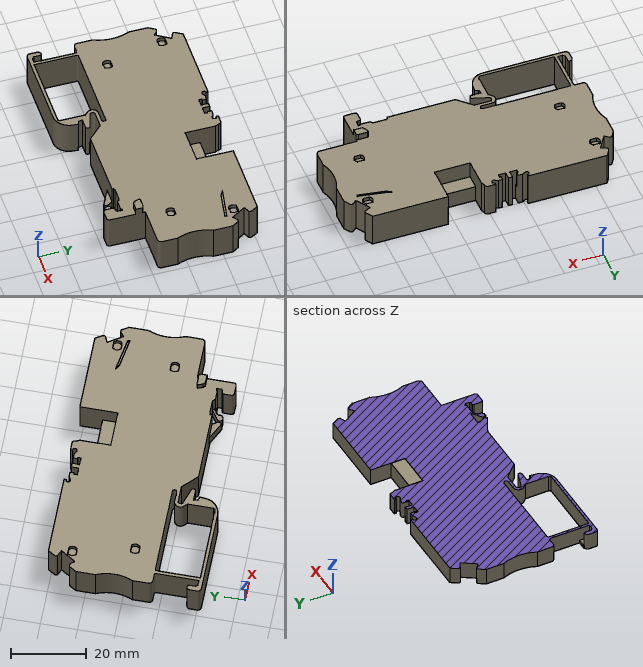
import cadquery as cq
import math

length = 76.5
height = 42.0
thickness = 9.95
half_length = length / 2
block_bottom = 13.1
block_corner_radius = 1.0

waist_low, waist_high = 18.4, 28.4
waist_depth = 1.1

web_bottom = 7.1
leg_right = 26.55

wall = 0.9
stem_left = -34.95
stem_right = stem_left + wall
arm_top = 11.9
arm_bottom = arm_top - wall
flank_top_x = -7.5
slot_end_x = -9.25
spring_wall_x = -12.4
foot_corner_radius = 4.35

latch_bottom, latch_top = 2.1, 5.1

recess_left, recess_right = 1.7, 11.8
recess_floor_y = 31.75
deck_edge_y = 35.9
deck_z = 5.0

marker_x = -6.3
marker_floor_y = 38.8
marker_bump_y = 40.85
marker_post_half = 0.57
marker_ledge_z = 5.0

socket_diameter = 2.8
socket_flats = 2.2
socket_depth = 1.15
socket_centers = [(-32.2, 35.7), (32.2, 35.7), (-28.45, 19.5), (28.45, 19.5)]

groove_depth = 0.4
peg_height = 1.8

tongue_thickness = 0.9


def prism(points, bottom=0.0, depth=thickness):
    """Straight prism over a closed polygon in the XY plane."""
    return cq.Workplane("XY").workplane(offset=bottom).polyline(points).close().extrude(depth)


def box(x0, x1, y0, y1, bottom=0.0, depth=thickness):
    return prism([(x0, y0), (x1, y0), (x1, y1), (x0, y1)], bottom, depth)


def both_ends(solid):
    """The solid together with its mirror image about the middle of the length."""
    return solid.union(solid.mirror("YZ"))


def main_block():
    waist_middle = (waist_low + waist_high) / 2
    waist_x = half_length - waist_depth
    block = (
        cq.Workplane("XY")
        .moveTo(-half_length, block_bottom)
        .lineTo(half_length, block_bottom)
        .lineTo(half_length, waist_low)
        .threePointArc((waist_x, waist_middle), (half_length, waist_high))
        .lineTo(half_length, height)
        .lineTo(-half_length, height)
        .lineTo(-half_length, waist_high)
        .threePointArc((-waist_x, waist_middle), (-half_length, waist_low))
        .close()
        .extrude(thickness)
    )
    return block.edges("|Z and <Y").fillet(block_corner_radius)


def end_notch():
    """Material removed at an upper corner: bevel, hooked lip and notch."""
    outside_x, outside_y = half_length + 0.8, height + 0.8
    return (
        cq.Workplane("XY")
        .moveTo(33.3, outside_y)
        .lineTo(33.3, height)
        .lineTo(34.35, 40.25)
        .threePointArc((34.5, 39.8), (34.35, 39.3))
        .lineTo(32.7, 38.55)
        .lineTo(35.2, 34.6)
        .lineTo(36.25, 35.5)
        .threePointArc((36.7, 35.65), (37.2, 35.4))
        .lineTo(half_length, 33.65)
        .lineTo(outside_x, 33.65)
        .lineTo(outside_x, outside_y)
        .close()
        .extrude(thickness)
    )


def marker_half():
    """Right half of the marker groove, drawn about its own middle line."""
    slot_side = 2.2
    lip = 4.6
    ledge_side, ledge_top = 2.6, 39.6
    opening = (
        cq.Workplane("XY")
        .moveTo(0, marker_bump_y)
        .lineTo(marker_post_half, marker_bump_y)
        .lineTo(marker_post_half, marker_floor_y)
        .lineTo(slot_side, marker_floor_y)
        .lineTo(slot_side, 40.55)
        .threePointArc((2.3, 40.8), (2.5, marker_bump_y))
        .lineTo(3.45, marker_bump_y)
        .lineTo(4.4, 40.3)
        .threePointArc((5.2, 40.7), (lip, 41.4))
        .lineTo(lip, height + 0.8)
        .lineTo(0, height + 0.8)
        .close()
        .extrude(thickness)
    )
    ledge = box(marker_post_half, ledge_side, marker_floor_y, ledge_top, marker_ledge_z)
    return opening.union(ledge)


def upper_recess():
    opening = box(recess_left, recess_right, deck_edge_y, height + 0.8)
    above_deck = box(recess_left, recess_right, recess_floor_y, height + 0.8, deck_z)
    shoulder = (
        cq.Workplane("XY")
        .moveTo(0.4, height)
        .threePointArc((1.0, 41.8), (1.2, 41.1))
        .lineTo(recess_left, 40.1)
        .lineTo(recess_left, height)
        .close()
        .extrude(thickness)
    )
    return opening.union(above_deck).union(shoulder)


def rail_web():
    """Web below the block, with the slanted left flank and the right leg."""
    leg_left = 22.65
    leg_bottom = 2.5
    leg_corner = 0.7
    pocket_x = 24.0
    pocket_left = pocket_x - 0.45
    pocket_top = web_bottom + 0.3
    web = prism([
        (slot_end_x, block_bottom),
        (slot_end_x, arm_bottom),
        (flank_top_x, arm_bottom),
        (-3.6, web_bottom),
        (pocket_left, web_bottom),
        (pocket_left, pocket_top),
        (pocket_x, pocket_top),
        (pocket_x, 6.05),
        (pocket_x - 0.4, 5.7),
        (leg_left + 0.2, 5.7),
        (leg_left, 5.4),
        (leg_left, leg_bottom),
        (leg_right, leg_bottom),
        (leg_right, block_bottom),
    ])
    return web.edges("|Z and <Y").fillet(leg_corner)


def spring_foot():
    """Thin frame under the block ending in the sprung rail claw."""
    hook_top = 3.9
    hook_inner_x = -36.9
    hook_floor_y = 1.15
    tongue_top = 4.05
    corner = 0.5
    stem_flare = 0.4
    foot_corner = 1.0
    claw_x, claw_y = -9.65, 5.65
    arc_center_x = -14.15
    across, up = claw_x - arc_center_x, claw_y - foot_corner_radius
    arc_end = math.atan2(up, across) - math.acos(foot_corner_radius / math.hypot(across, up))
    arc_middle = (arc_end - math.pi / 2) / 2

    def on_corner(angle):
        return (
            arc_center_x + foot_corner_radius * math.cos(angle),
            foot_corner_radius * (1 + math.sin(angle)),
        )

    frame = (
        cq.Workplane("XY")
        .moveTo(-half_length, foot_corner)
        .radiusArc((foot_corner - half_length, 0), -foot_corner)
        .lineTo(arc_center_x, 0)
        .threePointArc(on_corner(arc_middle), on_corner(arc_end))
        .lineTo(claw_x, claw_y)
        .lineTo(-10.6, 6.0)
        .lineTo(-10.9, web_bottom)
        .lineTo(-7.95, web_bottom)
        .threePointArc((-7.5, 7.65), (-7.8, 8.3))
        .lineTo(-12.2, 9.65)
        .threePointArc((-12.6, 10.3), (-12.0, arm_bottom))
        .lineTo(flank_top_x, arm_bottom)
        .lineTo(flank_top_x, arm_top)
        .lineTo(spring_wall_x, arm_top)
        .threePointArc((-13.7, 10.5), (-13.4, 9.4))
        .lineTo(spring_wall_x, 8.4)
        .lineTo(spring_wall_x, wall + corner)
        .lineTo(spring_wall_x - corner / 2, wall)
        .lineTo(stem_right, wall)
        .lineTo(stem_right, block_bottom - stem_flare)
        .radiusArc((stem_right + stem_flare, block_bottom), stem_flare)
        .lineTo(stem_left - stem_flare, block_bottom)
        .radiusArc((stem_left, block_bottom - stem_flare), stem_flare)
        .lineTo(stem_left, hook_floor_y)
        .lineTo(hook_inner_x + corner, hook_floor_y)
        .lineTo(hook_inner_x, hook_floor_y + corner)
        .lineTo(hook_inner_x, hook_top - corner / 2)
        .lineTo(hook_inner_x - corner / 2, hook_top)
        .lineTo(foot_corner - half_length, hook_top)
        .radiusArc((-half_length, hook_top - foot_corner), -foot_corner)
        .close()
        .extrude(thickness)
    )
    tongue = box(hook_inner_x - corner, stem_right, wall, tongue_top, 0, tongue_thickness)
    return frame.union(tongue)


def spring_slot_end():
    """Rounded end of the slot between block and spring arm."""
    middle_y = (block_bottom + arm_top) / 2
    radius = (block_bottom - arm_top) / 2
    return cq.Workplane("XY").center(slot_end_x, middle_y).circle(radius).extrude(thickness)


def latch_clearance():
    """Notch behind the latch and the open pocket underneath it."""
    below = web_bottom - 0.8
    notch = prism([
        (15.8, below), (15.8, 7.5), (16.3, 7.8),
        (20.05, 7.8), (20.65, web_bottom), (20.65, below),
    ])
    pocket_depth = 3.2
    pocket_back = web_bottom + pocket_depth
    pocket = prism([
        (12.7, below), (12.7, pocket_back),
        (21.1, pocket_back), (22.5, web_bottom), (22.5, below),
    ], 0, latch_bottom)
    return notch.union(pocket)


def rail_latch():
    """Wedge and thin curved finger that meet almost tip to tip."""
    depth = latch_top - latch_bottom
    root_y = web_bottom + 0.15
    wedge = prism([
        (11.4, web_bottom), (11.4, root_y), (15.8, root_y), (15.8, web_bottom),
        (16.8, 5.5), (16.4, 4.6),
    ], latch_bottom, depth)
    finger = prism([
        (17.0, 5.5), (17.45, 6.05), (18.5, 6.7), (20.05, 7.9), (20.7, 7.9), (20.7, web_bottom),
        (20.3, web_bottom), (19.35, 6.6), (18.9, 6.0), (18.9, 5.05), (18.2, 4.6), (17.45, 4.6),
    ], latch_bottom, depth)
    return wedge.union(finger)


def pin_sockets():
    bottom = thickness - socket_depth
    sockets = (
        cq.Workplane("XY")
        .workplane(offset=bottom)
        .pushPoints(socket_centers)
        .circle(socket_diameter / 2)
        .extrude(socket_depth)
    )
    between_flats = (
        cq.Workplane("XY")
        .workplane(offset=bottom)
        .pushPoints(socket_centers)
        .rect(socket_diameter + 0.8, socket_flats)
        .extrude(socket_depth)
    )
    return sockets.intersect(between_flats)


def relief_groove():
    return prism(
        [(25.0, 34.9), (34.2, 33.3), (34.2, 32.75), (26.4, 34.05)],
        thickness - groove_depth,
        groove_depth,
    )


def coding_peg():
    return prism(
        [(23.1, 12.4), (23.5, 12.6), (26.0, 12.6), (leg_right, 12.3), (leg_right, 10.3),
         (26.2, 10.5), (24.1, 10.5), (23.65, 11.0)],
        thickness,
        peg_height,
    )


marker_groove = both_ends(marker_half()).translate((marker_x, 0, 0))

result = (
    main_block()
    .cut(both_ends(end_notch()))
    .cut(marker_groove)
    .cut(upper_recess())
    .union(rail_web())
    .union(spring_foot())
    .cut(spring_slot_end())
    .cut(latch_clearance())
    .union(rail_latch())
    .cut(pin_sockets())
    .cut(relief_groove())
    .union(coding_peg())
)